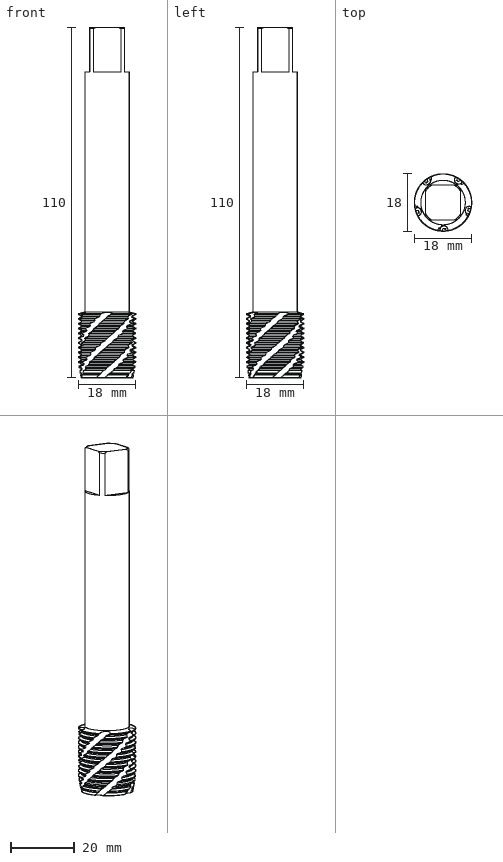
import cadquery as cq
import math


total_height = 110.0
shank_diameter = 14.0
thread_diameter = 18.0
head_length = 20.7
shoulder_drop = 0.5

drive_width = 11.0
drive_length = 14.0
drive_chamfer = 0.4

pitches_per_diameter = 12
pitch = thread_diameter / pitches_per_diameter
thread_depth = 0.9
crest_width = pitch / 8
root_width = pitch / 4
lowest_groove_z = 1.2
groove_count = 13
groove_overrun = 0.1

tip_diameter = 16.3
taper_length = 4.6

flute_count = 5
flute_radius = 1.6
flute_lead = 46.0
flute_top_angle = -87.0

thread_radius = thread_diameter / 2
root_radius = thread_radius - thread_depth


def revolve_outline(points):
    """Turn an outline of (radius, height) points about the Z axis."""
    return cq.Workplane("YZ").polyline(points).close().revolve(360, (0, 0), (0, 1))


def make_shank():
    """Round shank with a square drive whose corners follow the shank diameter."""
    shank_radius = shank_diameter / 2
    bar = (
        cq.Workplane("XY", origin=(0, 0, head_length))
        .circle(shank_radius)
        .extrude(total_height - head_length)
        .faces(">Z")
        .chamfer(drive_chamfer)
    )
    around_drive = (
        cq.Workplane("XY", origin=(0, 0, total_height - drive_length))
        .rect(2 * shank_diameter, 2 * shank_diameter)
        .rect(drive_width, drive_width)
        .extrude(drive_length)
    )
    return bar.cut(around_drive)


def make_head_blank():
    """Cylinder at the thread diameter, tapered at the cutting end and sloping up to the shank."""
    return revolve_outline([
        (0, 0),
        (tip_diameter / 2, 0),
        (thread_radius, taper_length),
        (thread_radius, head_length - shoulder_drop),
        (shank_diameter / 2, head_length),
        (0, head_length),
    ])


def make_thread_groove(center_z):
    """Ring with a flat root and sloping flanks; the flanks run on past the crest."""
    half_root = root_width / 2
    half_crest_gap = (pitch - crest_width) / 2
    flank_slope = (half_crest_gap - half_root) / thread_depth
    half_mouth = half_crest_gap + groove_overrun * flank_slope
    outer_radius = thread_radius + groove_overrun
    return revolve_outline([
        (root_radius, center_z - half_root),
        (outer_radius, center_z - half_mouth),
        (outer_radius, center_z + half_mouth),
        (root_radius, center_z + half_root),
    ])


def make_flute(top_angle):
    """Round channel centred on the thread diameter, twisting over the head length."""
    twist = 360 * head_length / flute_lead
    bottom_angle = math.radians(top_angle - twist)
    center = (thread_radius * math.cos(bottom_angle), thread_radius * math.sin(bottom_angle))
    return cq.Workplane("XY").pushPoints([center]).circle(flute_radius).twistExtrude(head_length, twist)


def make_head():
    """Cutting head: ring thread crossed by spiral flutes."""
    head = make_head_blank()
    for index in range(groove_count):
        head = head.cut(make_thread_groove(lowest_groove_z + index * pitch))
    for index in range(flute_count):
        head = head.cut(make_flute(flute_top_angle + index * 360 / flute_count))
    return head


shank = make_shank()
head = make_head()

result = cq.Compound.makeCompound([shank.val(), head.val()])